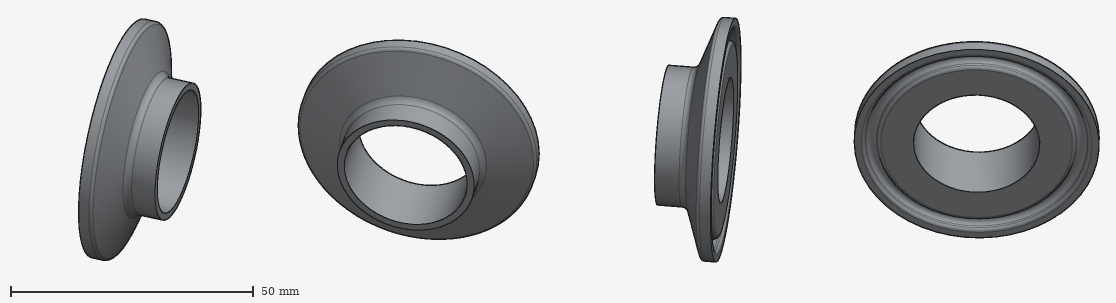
import cadquery as cq
import math

flange_radius = 25.25
neck_radius = 29.0 / 2
bore_radius = 26.0 / 2
length = 13.0

rim_thickness = 2.85
taper_angle = 20.0
rim_fillet = 0.8
neck_fillet = 1.6

groove_radius = 21.75
groove_half_width = 2.0
groove_wall_angle = 75.0
lip_arc_radius = 0.8
floor_arc_radius = 1.15

taper_end = rim_thickness + (flange_radius - neck_radius) * math.tan(math.radians(taper_angle))


def revolve_about_x(profile):
    return profile.revolve(360, (0, 0, 0), (1, 0, 0))


def fillet_corner(body, corner_x, fillet_radius):
    """Round the circular edge whose centre lies on the axis at corner_x."""
    tolerance = 0.05
    corner = cq.selectors.BoxSelector(
        (corner_x - tolerance, -tolerance, -tolerance),
        (corner_x + tolerance, tolerance, tolerance),
    )
    return body.edges("%CIRCLE").edges(corner).fillet(fillet_radius)


def ferrule_body():
    profile = (
        cq.Workplane("XY")
        .moveTo(0, bore_radius)
        .lineTo(0, flange_radius)
        .lineTo(rim_thickness, flange_radius)
        .lineTo(taper_end, neck_radius)
        .lineTo(length, neck_radius)
        .lineTo(length, bore_radius)
        .close()
    )
    body = revolve_about_x(profile)
    body = fillet_corner(body, rim_thickness, rim_fillet)
    return fillet_corner(body, taper_end, neck_fillet)


def gasket_groove():
    wall_angle = math.radians(groove_wall_angle)
    lip_depth = lip_arc_radius * (1 - math.cos(wall_angle))
    lip_middle_depth = lip_arc_radius * (1 - math.cos(wall_angle / 2))
    lip_middle_offset = groove_half_width - lip_arc_radius * math.sin(wall_angle / 2)
    wall_top_offset = groove_half_width - lip_arc_radius * math.sin(wall_angle)
    floor_half_width = floor_arc_radius * math.sin(wall_angle)
    wall_depth = lip_depth + (wall_top_offset - floor_half_width) * math.tan(wall_angle)
    groove_depth = wall_depth + floor_arc_radius * (1 - math.cos(wall_angle))
    profile = (
        cq.Workplane("XY")
        .moveTo(0, groove_radius - groove_half_width)
        .threePointArc(
            (lip_middle_depth, groove_radius - lip_middle_offset),
            (lip_depth, groove_radius - wall_top_offset),
        )
        .lineTo(wall_depth, groove_radius - floor_half_width)
        .threePointArc(
            (groove_depth, groove_radius),
            (wall_depth, groove_radius + floor_half_width),
        )
        .lineTo(lip_depth, groove_radius + wall_top_offset)
        .threePointArc(
            (lip_middle_depth, groove_radius + lip_middle_offset),
            (0, groove_radius + groove_half_width),
        )
        .close()
    )
    return revolve_about_x(profile)


result = ferrule_body().cut(gasket_groove())